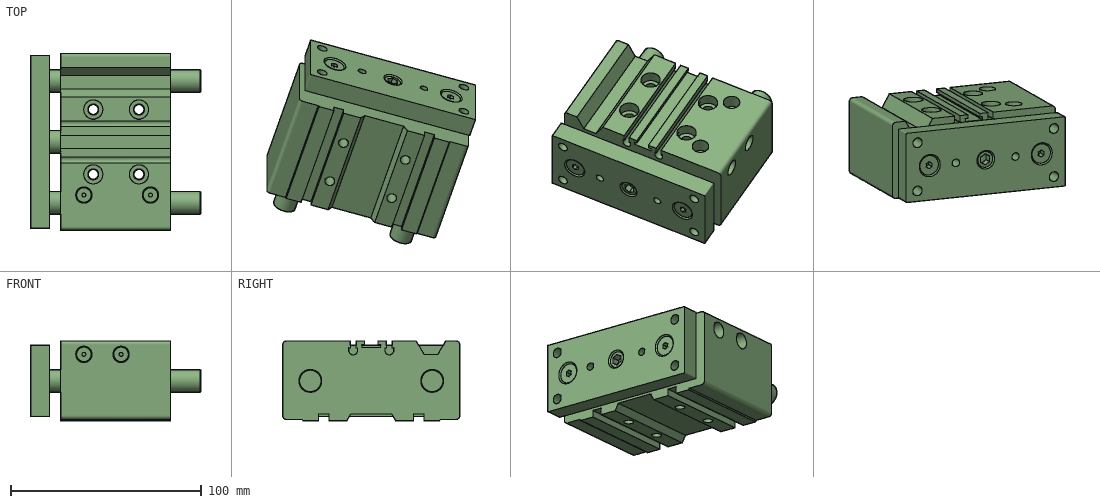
import cadquery as cq
import math


total_length = 89.5
housing_width = 93.0
housing_start = 15.8
housing_length = 57.75
top_z = 21.0
foot_z = -top_z
foot_height = 0.7
edge_radius = 1.95

plate_thickness = 10.0
plate_width = 90.9
plate_height = 37.6
plate_edge_radius = 0.5
plate_hole_diameter = 5.2
plate_hole_y = 39.0
plate_hole_z = 13.0
dowel_diameter = 4.0
dowel_slot_length = 4.3
rod_diameter = 12.0
rod_chamfer = 0.4
guide_rod_y = 32.0
piston_rod_end = housing_start + housing_length / 2
seat_depth = 0.7
seat_taper = 0.7
piston_seat_diameter = 10.0
guide_socket_flats = 3.2
piston_socket_flats = 5.1
socket_depth = 4.65

mount_x = (32.9, 56.9)
mount_y = 17.0
mount_diameter = 5.8
mount_thread_diameter = 5.1
mount_thread_length = 11.2
counterbore_diameter = 10.0
counterbore_depth = 6.0
port_mouth_diameter = 8.6
port_floor_diameter = 7.6
port_depth = 7.4
port_drill_diameter = 2.0
port_drill_depth = 3.7
front_port_x = (28.0, 47.5)
front_port_z = 13.95
top_port_x = (28.0, 63.0)
top_port_y = -27.9

flank_slope = math.tan(math.radians(60))
top_groove_y = 31.3
top_groove_mouth = 15.4
top_groove_floor = 7.3
top_groove_depth = (top_groove_mouth - top_groove_floor) / 2 * flank_slope
sensor_slot_y = 9.5
sensor_slot_width = 3.0
sensor_slot_lip = 3.7
sensor_slot_diameter = 4.5
sensor_slot_depth = 5.1
tee_mouth = 6.9
tee_width = 9.9
tee_lip = 1.95
tee_depth = 3.5
foot_outer_y = 36.3
foot_outer_slope = 0.5
bottom_groove_depth = 3.7
bottom_groove_mouth = 25.7
bottom_groove_floor = bottom_groove_mouth - 2 * bottom_groove_depth / flank_slope
foot_slot_y = 24.9
foot_slot_width = 5.4


def housing_prism(points):
    """Solid with a (y, z) outline, as long as the housing."""
    return cq.Workplane("YZ", origin=(housing_start, 0, 0)).polyline(points).close().extrude(housing_length)


def lengthwise_groove(y, mouth_z, floor_z, mouth_width, floor_width):
    """Cutter for a straight groove whose flanks may slope."""
    return housing_prism([
        (y - mouth_width / 2, mouth_z),
        (y + mouth_width / 2, mouth_z),
        (y + floor_width / 2, floor_z),
        (y - floor_width / 2, floor_z),
    ])


def rod(y, end_x):
    """Cylinder along X, from the outer plate face to end_x."""
    return cq.Workplane("YZ", origin=(0, y, 0)).circle(rod_diameter / 2).extrude(end_x)


def tapered_port(origin, direction):
    """Cutter for a tapered port with a small drilled hole in its floor."""
    start = cq.Vector(*origin)
    inward = cq.Vector(*direction)
    taper = cq.Solid.makeCone(port_mouth_diameter / 2, port_floor_diameter / 2, port_depth, start, inward)
    drill = cq.Solid.makeCylinder(port_drill_diameter / 2, port_depth + port_drill_depth, start, inward)
    return cq.Workplane(taper.fuse(drill))


def housing_blank():
    """Block with rounded lengthwise edges, standing on two shallow feet."""
    base_z = foot_z + foot_height
    block = (
        cq.Workplane("XY", origin=(housing_start, 0, base_z))
        .box(housing_length, housing_width, top_z - base_z, centered=(False, True, False))
        .edges("|X")
        .fillet(edge_radius)
    )
    feet_width = 2 * foot_outer_y
    feet = lengthwise_groove(0, base_z, foot_z, feet_width, feet_width - 2 * foot_outer_slope)
    return block.union(feet)


def sensor_slot(y):
    """Cutter for a slot with a narrow neck and a wider, round-floored channel below it."""
    neck = sensor_slot_width / 2
    channel = sensor_slot_diameter / 2
    lip_z = top_z - sensor_slot_lip
    round_z = top_z - sensor_slot_depth
    return (
        cq.Workplane("YZ", origin=(housing_start, 0, 0))
        .moveTo(y - neck, top_z)
        .lineTo(y - neck, lip_z)
        .lineTo(y - channel, lip_z)
        .lineTo(y - channel, round_z)
        .threePointArc((y, round_z - channel), (y + channel, round_z))
        .lineTo(y + channel, lip_z)
        .lineTo(y + neck, lip_z)
        .lineTo(y + neck, top_z)
        .close()
        .extrude(housing_length)
    )


def cut_top_grooves(body):
    """Sloped groove, two round-floored sensor slots and the T-slot between them."""
    floor_z = top_z - top_groove_depth
    body = body.cut(lengthwise_groove(top_groove_y, top_z, floor_z, top_groove_mouth, top_groove_floor))
    for y in (-sensor_slot_y, sensor_slot_y):
        body = body.cut(sensor_slot(y))
    body = body.cut(lengthwise_groove(0, top_z, top_z - tee_depth, tee_mouth, tee_mouth))
    return body.cut(lengthwise_groove(0, top_z - tee_lip, top_z - tee_depth, tee_width, tee_width))


def cut_bottom_grooves(body):
    """Sloped centre groove and one straight slot through each foot."""
    floor_z = foot_z + bottom_groove_depth
    body = body.cut(lengthwise_groove(0, foot_z, floor_z, bottom_groove_mouth, bottom_groove_floor))
    for y in (-foot_slot_y, foot_slot_y):
        body = body.cut(lengthwise_groove(y, foot_z, floor_z, foot_slot_width, foot_slot_width))
    return body


def cut_mounting_holes(body):
    """Four counterbored holes through the housing, narrower at the bottom."""
    places = [(x, y) for x in mount_x for y in (-mount_y, mount_y)]
    bottom = cq.Workplane("XY", origin=(0, 0, foot_z)).pushPoints(places)
    top = cq.Workplane("XY", origin=(0, 0, top_z)).pushPoints(places)
    thread = bottom.circle(mount_thread_diameter / 2).extrude(mount_thread_length)
    shank = top.circle(mount_diameter / 2).extrude(foot_z + mount_thread_length - top_z)
    counterbore = top.circle(counterbore_diameter / 2).extrude(-counterbore_depth)
    return body.cut(thread).cut(shank).cut(counterbore)


def cut_ports(body):
    """Two ports in the -Y side and two in the top."""
    for x in front_port_x:
        body = body.cut(tapered_port((x, -housing_width / 2, front_port_z), (0, 1, 0)))
    for x in top_port_x:
        body = body.cut(tapered_port((x, top_port_y, top_z), (0, 0, -1)))
    return body


def make_rods():
    """Two guide rods that leave the housing at the back, and the piston rod that ends inside it."""
    guide_rods = [
        rod(y, total_length).faces(">X").chamfer(rod_chamfer)
        for y in (-guide_rod_y, guide_rod_y)
    ]
    return guide_rods + [rod(0, piston_rod_end)]


def make_housing():
    body = cut_top_grooves(housing_blank())
    body = cut_bottom_grooves(body)
    body = cut_mounting_holes(body)
    body = cut_ports(body)
    for bore in make_rods():
        body = body.cut(bore)
    return body


def cut_rod_seat(body, y, mouth_diameter, socket_flats):
    """Conical recess in the plate face with a hexagon socket, corners up and down, in its floor."""
    mouth_radius = mouth_diameter / 2
    recess = cq.Solid.makeCone(
        mouth_radius, mouth_radius - seat_taper, seat_depth, cq.Vector(0, y, 0), cq.Vector(1, 0, 0)
    )
    across_corners = socket_flats / math.cos(math.radians(30))
    socket = (
        cq.Workplane("YZ", origin=(0, y, 0))
        .transformed(rotate=(0, 0, 90))
        .polygon(6, across_corners)
        .extrude(seat_depth + socket_depth)
    )
    return body.cut(cq.Workplane(recess)).cut(socket)


def cut_plate_holes(body):
    """Four corner holes, a round dowel hole and a slotted dowel hole, all through the plate."""
    corners = [(y, z) for y in (-plate_hole_y, plate_hole_y) for z in (-plate_hole_z, plate_hole_z)]
    face = cq.Workplane("YZ")
    corner_holes = face.pushPoints(corners).circle(plate_hole_diameter / 2).extrude(plate_thickness)
    dowel_hole = face.center(-mount_y, 0).circle(dowel_diameter / 2).extrude(plate_thickness)
    dowel_slot = face.center(mount_y, 0).slot2D(dowel_slot_length, dowel_diameter).extrude(plate_thickness)
    return body.cut(corner_holes).cut(dowel_hole).cut(dowel_slot)


def make_carriage():
    body = (
        cq.Workplane("YZ")
        .rect(plate_width, plate_height)
        .extrude(plate_thickness)
        .edges("|X")
        .fillet(plate_edge_radius)
    )
    body = cut_plate_holes(body)
    for part in make_rods():
        body = body.union(part)
    for y in (-guide_rod_y, guide_rod_y):
        body = cut_rod_seat(body, y, rod_diameter, guide_socket_flats)
    return cut_rod_seat(body, 0, piston_seat_diameter, piston_socket_flats)


housing = make_housing()
carriage = make_carriage()

result = cq.Compound.makeCompound([housing.val(), carriage.val()])